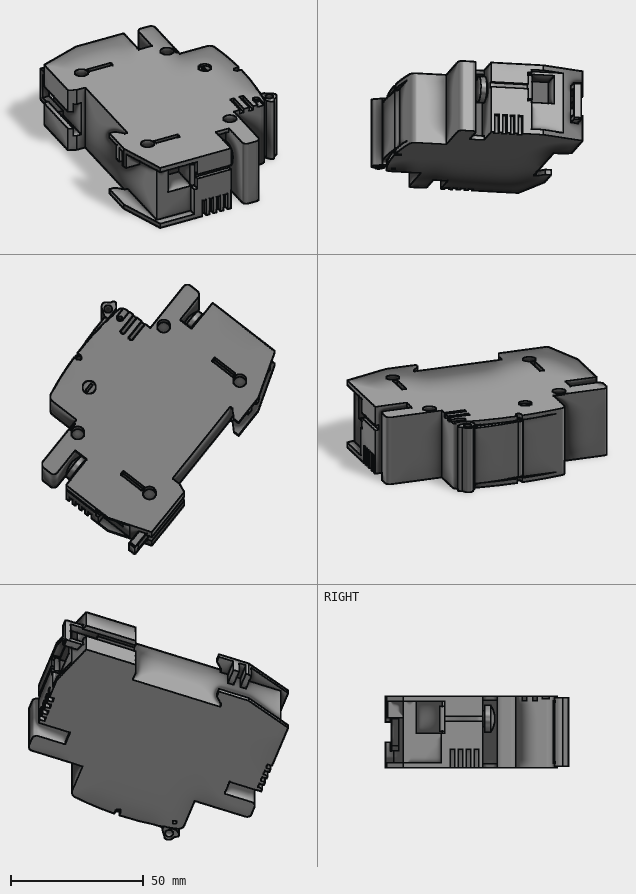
import cadquery as cq
import math

thickness = 27.0
half_thick = thickness / 2
body_half = 44.6
head_half = 22.5
neck_half = 31.9
shoulder_y = 36.6
wing_bottom_y = 42.1
wing_top_y = 49.05
wing_corner_r = 1.8
head_top_y = 64.7
head_arc_r = 111.7
head_corner_r = 2.4
rail_y = 6.6
slope_top_y = 16.5
foot_left_x = -38.8
foot_right_x = -19.0
foot_step_x = -17.7
foot_step_y = 3.1
hook_root_x = 17.4
hook_tip_x = 14.6
hook_root_y = 5.55
hook_tip_y = 2.7
toe_bottom_y = 0.5
toe_slope_x = 26.5

end_depth = 2.9
end_half_z = 11.6
end_top_y = 21.0
device_z = 5.0
terminal_width = 10.9
terminal_top_y = 21.4
notch_top_y = 22.4
terminal_bottom_y = 11.6
terminal_depth = 13.65
access_width = 1.9
access_depth = 1.5
rod_d = 2.0
rod_length = 9.3
rod_embed = 0.1
rod_inset = 1.8
vent_count = 4
vent_width = 1.6
vent_pitch = 3.0
vent_first_y = 34.3
vent_depth = 1.8
vent_top_z = -6.55

screw_inset = 8.8
right_terminal_shift = 0.7
screw_shank_d = 6.0
screw_head_d = 10.0
screw_shank_h = 0.8
screw_head_h = 2.3
screw_dome_h = 1.55
neck_pocket_half_z = 11.9
neck_pocket_depth = 2.7

rib_x = (20.4, 25.4)
rib_width = 2.3
rib_bottom_z = 5.4

clip_half_z = 7.1
clip_tip_x = -46.4
clip_end_x = -32.8
clip_wall = 2.2
clip_leg = 2.0
clip_chamfer = 0.55
clip_top_y = 4.9
clip_bottom_y = 2.2
clip_gap = 0.3
channel_width = 7.55

hole_d = 5.0
blind_depth = 5.5
upper_hole = (26.1, 45.5)
lower_hole = (27.5, 10.0)
keyway_x = 27.8
keyway_width = 1.7
keyway_top_y = 23.0
keyway_bottom_y = 13.0
rivet_x = -9.65
rivet_y = 53.05
rivet_depth = 0.9
rivet_slot = (3.3, 0.9)
rivet_slot_depth = 0.5
louvre_start_x = 14.3
louvre_width = 1.6
louvre_depth = 1.6
louvre_ys = (56.3, 52.4)
seal_x = 18.6
seal_y = 60.4
seal_hole_d = 1.5
seal_slot_width = 2.55
seal_slot_depth = 0.9
slit_x = -25.5
slit_y = 48.5
slit_size = (3.1, 0.3)
slit_depth = 0.5

recess_half_z = 11.7
recess_floor_y = 63.2
pivot_x = -3.1
pivot_y = 63.15
pivot_d = 2.0
hub_r = 1.55
hub_clearance = 0.3
lever_gap = 0.2
lever_half_z = 11.2
lever_crown_x = 11.65
lever_crown_y = 65.4
knob_half_z = 12.9
knob_left_x = 15.4
knob_bottom_y = 63.8
knob_eye_x = 18.4
knob_eye_y = 66.1
knob_eye_d = 3.0
knob_fillet_r = 1.1
knob_flank_end = (16.9, 67.7)
knob_crown = (18.6, 69.0)
knob_crown_end = (20.2, 68.0)
knob_nose_root = (20.9, 66.9)
knob_nose_top = (21.6, 66.6)
knob_nose_tip = (22.2, 65.6)
knob_nose_bottom = (21.9, 65.0)
knob_bottom_right_x = 20.5


def block(x0, x1, y0, y1, z0, z1):
    """Box given by its two limits along each axis."""
    return cq.Workplane("XY").box(x1 - x0, y1 - y0, z1 - z0, centered=False).translate((x0, y0, z0))


def end_block(side, x_in, x_out, y0, y1, z0, z1):
    """Box near one end of the body; side is -1 or +1 and the X limits are distances from X = 0."""
    limits = sorted((side * x_in, side * x_out))
    return block(limits[0], limits[1], y0, y1, z0, z1)


def z_cylinder(x, y, diameter, z0, z1):
    return cq.Workplane("XY", origin=(x, y, z0)).circle(diameter / 2).extrude(z1 - z0)


def arc_y(x, crown_x, crown_y):
    """Height at x of an arch with the head radius and the given crown."""
    return crown_y - head_arc_r + math.sqrt(head_arc_r**2 - (x - crown_x) ** 2)


def round_corner(solid, x, y, radius):
    """Fillet the one outline corner at (x, y)."""
    return solid.edges(cq.selectors.NearestToPointSelector((x, y, 0))).fillet(radius)


def slab():
    eave_y = arc_y(head_half, 0, head_top_y)
    solid = (
        cq.Workplane("XY", origin=(0, 0, -half_thick))
        .moveTo(foot_left_x, 0)
        .lineTo(foot_right_x, 0)
        .lineTo(foot_step_x, foot_step_y)
        .lineTo(foot_step_x, rail_y)
        .lineTo(hook_root_x, rail_y)
        .lineTo(hook_root_x, hook_root_y)
        .lineTo(hook_tip_x, hook_tip_y)
        .lineTo(hook_tip_x, toe_bottom_y)
        .lineTo(toe_slope_x, toe_bottom_y)
        .lineTo(body_half, rail_y)
        .lineTo(body_half, shoulder_y)
        .lineTo(neck_half, shoulder_y)
        .lineTo(neck_half, wing_bottom_y)
        .lineTo(body_half, wing_bottom_y)
        .lineTo(body_half, wing_top_y)
        .lineTo(head_half, wing_top_y)
        .lineTo(head_half, eave_y)
        .threePointArc((0, head_top_y), (-head_half, eave_y))
        .lineTo(-head_half, wing_top_y)
        .lineTo(-body_half, wing_top_y)
        .lineTo(-body_half, wing_bottom_y)
        .lineTo(-neck_half, wing_bottom_y)
        .lineTo(-neck_half, shoulder_y)
        .lineTo(-body_half, shoulder_y)
        .lineTo(-body_half, slope_top_y)
        .close()
        .extrude(thickness)
    )
    for side in (-1, 1):
        solid = round_corner(solid, side * body_half, wing_bottom_y, wing_corner_r)
        solid = round_corner(solid, side * body_half, wing_top_y, wing_corner_r)
        solid = round_corner(solid, side * head_half, eave_y, head_corner_r)
    return solid


def toe_ribs(outline):
    ribs = cq.Workplane("XY")
    for x in rib_x:
        ribs = ribs.union(block(x, x + rib_width, 0, rail_y, rib_bottom_z, end_half_z))
    return ribs.intersect(outline)


def hollow_toe(solid):
    """Leave only the two side plates of the toe, joined to the body above the rail seat."""
    ribs = toe_ribs(solid)
    return solid.cut(block(hook_tip_x, body_half, 0, rail_y, -end_half_z, end_half_z)).union(ribs)


def end_pocket(solid, side):
    face = body_half - end_depth
    return solid.cut(end_block(side, face, body_half, 0, end_top_y, -end_half_z, end_half_z))


def terminal_pocket(solid, side, top_z):
    """Deep terminal pocket with a shallow notch in front and a driver groove up to the shoulder."""
    face = body_half - end_depth
    inner = body_half - terminal_depth
    bottom_z = device_z - terminal_width / 2
    solid = solid.cut(end_block(side, inner, body_half, terminal_bottom_y, terminal_top_y, bottom_z, top_z))
    solid = solid.cut(end_block(side, face, body_half, terminal_bottom_y, notch_top_y, bottom_z, top_z))
    inner = body_half - access_depth
    z0 = device_z - access_width / 2
    return solid.cut(end_block(side, inner, body_half, notch_top_y, shoulder_y, z0, z0 + access_width))


def vents(solid, side):
    inner = body_half - vent_depth
    for i in range(vent_count):
        y0 = vent_first_y - i * vent_pitch - vent_width / 2
        solid = solid.cut(end_block(side, inner, body_half, y0, y0 + vent_width, -half_thick, vent_top_z))
    return solid


def neck_pocket(solid, side):
    """Pocket in the neck that clears the screw head."""
    inner = neck_half - neck_pocket_depth
    z = neck_pocket_half_z
    return solid.cut(end_block(side, inner, neck_half, shoulder_y, wing_bottom_y, -z, z))


def terminal_parts(solid, side, shift):
    """Clamping rod and screw, both one piece with the housing."""
    rod_x = side * (body_half - rod_inset - shift)
    rod_y = notch_top_y + rod_embed - rod_d / 2
    rod = z_cylinder(rod_x, rod_y, rod_d, device_z - rod_length / 2, device_z + rod_length / 2)
    screw = terminal_screw(side * (body_half - screw_inset - shift))
    return solid.union(rod).union(screw)


def end_features(solid, side, terminal_top_z, terminal_shift):
    solid = end_pocket(solid, side)
    solid = terminal_pocket(solid, side, terminal_top_z)
    solid = vents(solid, side)
    solid = neck_pocket(solid, side)
    return terminal_parts(solid, side, terminal_shift)


def terminal_screw(x):
    """Round screw with a domed head, standing on the shoulder along +Y."""
    head_r = screw_head_d / 2
    shank_r = screw_shank_d / 2
    head_base = screw_shank_h
    head_rim = head_base + screw_head_h
    dome_r = (head_r**2 + screw_dome_h**2) / (2 * screw_dome_h)
    mid_r = head_r / 2
    mid_y = head_rim + screw_dome_h - dome_r + math.sqrt(dome_r**2 - mid_r**2)
    return (
        cq.Workplane("XY")
        .lineTo(shank_r, 0)
        .lineTo(shank_r, head_base)
        .lineTo(head_r, head_base)
        .lineTo(head_r, head_rim)
        .threePointArc((mid_r, mid_y), (0, head_rim + screw_dome_h))
        .close()
        .revolve(360, (0, 0), (0, 1))
        .translate((x, shoulder_y, device_z))
    )


def clip():
    """U-shaped rail clip, open towards +X."""
    outer = block(clip_tip_x, clip_end_x, clip_bottom_y, clip_top_y, -clip_half_z, clip_half_z)
    outer = outer.edges("|Y and <X").chamfer(clip_chamfer)
    inner_z = clip_half_z - clip_leg
    inner = block(clip_tip_x + clip_wall, clip_end_x, clip_bottom_y, clip_top_y, -inner_z, inner_z)
    return outer.cut(inner)


def foot_channel(solid):
    """Clip passage through the foot, with a narrower slot open to the underside."""
    passage_y = clip_bottom_y - clip_gap
    solid = solid.cut(block(-body_half, foot_step_x, passage_y, clip_top_y, -clip_half_z, clip_half_z))
    z = channel_width / 2
    return solid.cut(block(-body_half, foot_step_x, 0, clip_top_y, -z, z))


def top_face_openings(solid):
    floor = half_thick - blind_depth
    for side in (-1, 1):
        for x, y in (upper_hole, lower_hole):
            solid = solid.cut(z_cylinder(side * x, y, hole_d, floor, half_thick))
        x0 = side * keyway_x - keyway_width / 2
        keyway = block(x0, x0 + keyway_width, keyway_bottom_y, keyway_top_y, floor, half_thick)
        solid = solid.cut(keyway)
    return solid


def centred_pocket(x, y, size, z0, z1):
    return cq.Workplane("XY", origin=(x, y, z0)).rect(*size).extrude(z1 - z0)


def head_details(solid):
    rivet_floor = half_thick - rivet_depth
    solid = solid.cut(z_cylinder(rivet_x, rivet_y, hole_d, rivet_floor, half_thick))
    slot_floor = rivet_floor - rivet_slot_depth
    solid = solid.cut(centred_pocket(rivet_x, rivet_y, rivet_slot, slot_floor, rivet_floor))
    solid = solid.cut(centred_pocket(slit_x, slit_y, slit_size, half_thick - slit_depth, half_thick))
    for y in louvre_ys:
        y0 = y - louvre_width / 2
        floor = half_thick - louvre_depth
        solid = solid.cut(block(louvre_start_x, head_half, y0, y0 + louvre_width, floor, half_thick))
    floor = half_thick - seal_slot_depth
    y0 = seal_y - seal_slot_width / 2
    solid = solid.cut(z_cylinder(seal_x, seal_y, seal_slot_width, floor, half_thick))
    solid = solid.cut(block(seal_x, head_half, y0, y0 + seal_slot_width, floor, half_thick))
    return solid.cut(z_cylinder(seal_x, seal_y, seal_hole_d, -half_thick, half_thick))


def lever_seat(solid):
    """Recess for the lever, a rounded seat for its hub and open slots in line with the pivot."""
    z = recess_half_z
    solid = solid.cut(block(-head_half, head_half, recess_floor_y, head_top_y, -z, z))
    solid = solid.cut(z_cylinder(pivot_x, pivot_y, 2 * (hub_r + hub_clearance), -z, z))
    solid = solid.cut(z_cylinder(pivot_x, pivot_y, pivot_d, -half_thick, half_thick))
    x0 = pivot_x - pivot_d / 2
    return solid.cut(block(x0, x0 + pivot_d, pivot_y, head_top_y, -half_thick, half_thick))


def make_housing():
    solid = hollow_toe(slab())
    solid = end_features(solid, -1, device_z + terminal_width / 2, 0)
    solid = end_features(solid, 1, end_half_z, right_terminal_shift)
    solid = foot_channel(solid).union(clip())
    solid = top_face_openings(solid)
    solid = head_details(solid)
    return lever_seat(solid)


def lever_arm():
    bottom = recess_floor_y + lever_gap
    left_y = arc_y(pivot_x, lever_crown_x, lever_crown_y)
    right_y = arc_y(knob_left_x, lever_crown_x, lever_crown_y)
    arm = (
        cq.Workplane("XY", origin=(0, 0, -lever_half_z))
        .moveTo(pivot_x, bottom)
        .lineTo(knob_left_x, bottom)
        .lineTo(knob_left_x, right_y)
        .threePointArc((lever_crown_x, lever_crown_y), (pivot_x, left_y))
        .close()
        .extrude(2 * lever_half_z)
    )
    return arm.union(z_cylinder(pivot_x, pivot_y, 2 * hub_r, -lever_half_z, lever_half_z))


def knob():
    return (
        cq.Workplane("XY", origin=(0, 0, -knob_half_z))
        .moveTo(knob_left_x, knob_bottom_y)
        .lineTo(knob_bottom_right_x, knob_bottom_y)
        .lineTo(*knob_nose_bottom)
        .threePointArc(knob_nose_tip, knob_nose_top)
        .lineTo(*knob_nose_root)
        .lineTo(*knob_crown_end)
        .threePointArc(knob_crown, knob_flank_end)
        .lineTo(knob_left_x, lever_crown_y)
        .close()
        .extrude(2 * knob_half_z)
    )


def knob_blend(side):
    """Concave fillet between the side of the arm and the overhanging knob."""
    r = knob_fillet_r
    x0 = knob_left_x - r
    z_limits = sorted((side * lever_half_z, side * (lever_half_z + r)))
    top = arc_y(knob_left_x, lever_crown_x, lever_crown_y)
    corner = block(x0, knob_left_x, knob_bottom_y, top, z_limits[0], z_limits[1])
    hollow = (
        cq.Workplane("XZ", origin=(x0, 0, side * (lever_half_z + r)))
        .circle(r)
        .extrude(-top)
    )
    return corner.cut(hollow)


def make_lever():
    solid = lever_arm().union(knob())
    for side in (-1, 1):
        solid = solid.union(knob_blend(side))
    solid = solid.cut(z_cylinder(pivot_x, pivot_y, pivot_d, -lever_half_z, lever_half_z))
    return solid.cut(z_cylinder(knob_eye_x, knob_eye_y, knob_eye_d, -knob_half_z, knob_half_z))


housing = make_housing()
lever = make_lever()
result = cq.Compound.makeCompound([housing.solids().val(), lever.solids().val()])